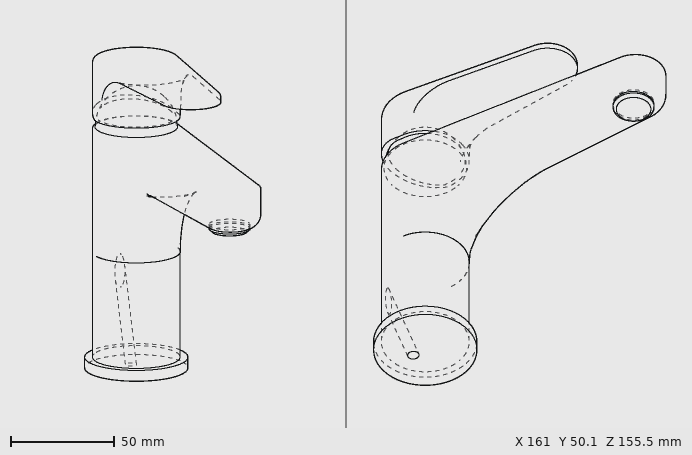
import cadquery as cq
import math

flange_radius = 25.03
flange_height = 5.5
column_radius = 21.3
column_top = 120.7
top_edge_round = 1.0

reach = 161.0 - flange_radius
spout_tip_radius = 14.8
spout_tip_x = reach - spout_tip_radius
spout_underside = 100.5
spout_edge_round = 7.1
throat_radius = 42.2
throat_nose_radius = column_radius + 0.2
spout_bar_bottom = spout_underside - throat_radius

rod_hole_diameter = 5.3
rod_hole_opening_height = 16.9
rod_hole_z = 43.5

dome_radius = 20.0

lever_top = 155.5
paddle_underside = 150.7
lever_edge_round = 2.5
lever_head_radius = column_radius
lever_reach = 85.0
lever_tip_radius = 14.5
lever_tip_x = lever_reach - lever_tip_radius
skirt_bottom = 125.7
skirt_back_bottom = 131.2
skirt_slope_end_x = -1.3
skirt_top_radius = 21.7
lever_throat_radius = 15.0
skirt_top_z = paddle_underside - lever_throat_radius

aerator_x = 120.1
aerator_radius = 10.0
aerator_rim_bottom = 99.7
aerator_face_radius = 8.4
aerator_face_z = 98.2
aerator_outlet_radius = 4.5
aerator_bottom = 97.7
aerator_seat_z = 101.7

throat_steps = 8


def tapered_bar(head_radius, tip_radius, tip_x, bottom, top):
    """Upright bar whose plan joins a round head on the Z axis to a round tip with tangent sides."""
    sine = (head_radius - tip_radius) / tip_x
    cosine = math.sqrt(1 - sine**2)
    head_point = (head_radius * sine, head_radius * cosine)
    tip_point = (tip_x + tip_radius * sine, tip_radius * cosine)
    return (
        cq.Workplane("XY", origin=(0, 0, bottom))
        .moveTo(*head_point)
        .lineTo(*tip_point)
        .threePointArc((tip_x + tip_radius, 0), (tip_point[0], -tip_point[1]))
        .lineTo(head_point[0], -head_point[1])
        .threePointArc((-head_radius, 0), head_point)
        .close()
        .extrude(top - bottom)
    )


def round_nosed_section(front_x, z, nose_radius):
    """Level outline with straight sides and a half-round nose that reaches front_x."""
    back_x = -2 * nose_radius
    nose_centre_x = front_x - nose_radius
    back_right = (back_x, -nose_radius, z)
    back_left = (back_x, nose_radius, z)
    nose_right = (nose_centre_x, -nose_radius, z)
    nose_left = (nose_centre_x, nose_radius, z)
    return cq.Wire.assembleEdges(
        [
            cq.Edge.makeLine(back_right, nose_right),
            cq.Edge.makeThreePointArc(nose_right, (front_x, 0, z), nose_left),
            cq.Edge.makeLine(nose_left, back_left),
            cq.Edge.makeLine(back_left, back_right),
        ]
    )


def throat(nose_front_x, nose_radius, arc_radius, underside):
    """Round-nosed neck that advances along a quarter circle until it is level with the underside."""
    sections = []
    for step in range(throat_steps + 1):
        angle = math.pi / 2 * step / throat_steps
        front_x = nose_front_x + arc_radius * (1 - math.cos(angle))
        z = underside - arc_radius * (1 - math.sin(angle))
        sections.append(round_nosed_section(front_x, z, nose_radius))
    return cq.Workplane(cq.Solid.makeLoft(sections))


def slab(bottom, top):
    """Level block larger than either bar, used to keep a bar at its full plan between two heights."""
    width = 4 * reach
    return cq.Workplane("XY", origin=(0, 0, bottom)).rect(width, width).extrude(top - bottom)


def make_spout():
    """Spout bar with its throat, its lower edge rounded all the way along."""
    bar = tapered_bar(column_radius, spout_tip_radius, spout_tip_x, spout_bar_bottom, column_top)
    envelope = slab(spout_underside, column_top).union(
        throat(column_radius, throat_nose_radius, throat_radius, spout_underside)
    )
    straight_lower_edges = cq.selectors.BoxSelector(
        (spout_tip_x / 2, -column_radius, spout_underside - 1.6),
        (reach, column_radius, spout_underside + 1.6),
    )
    return bar.intersect(envelope).edges(straight_lower_edges).fillet(spout_edge_round)


def make_rod_hole():
    """Hole that runs down and inward from the back of the column and out through the bottom."""
    tilt = math.asin(rod_hole_diameter / rod_hole_opening_height)
    length = 2 * column_top
    return (
        cq.Workplane("XY")
        .circle(rod_hole_diameter / 2)
        .extrude(length)
        .translate((0, 0, -length / 2))
        .rotate((0, 0, 0), (0, 1, 0), -math.degrees(tilt))
        .translate((-column_radius, 0, rod_hole_z))
    )


def make_body():
    """Flange, column and spout in one piece, with the rod hole and the aerator seat."""
    flange = cq.Workplane("XY").circle(flange_radius).extrude(flange_height)
    column = cq.Workplane("XY").circle(column_radius).extrude(column_top)
    aerator_seat = (
        cq.Workplane("XY", origin=(aerator_x, 0, aerator_bottom))
        .circle(aerator_radius)
        .extrude(aerator_seat_z - aerator_bottom)
    )
    return (
        column.union(make_spout())
        .faces(">Z")
        .edges()
        .fillet(top_edge_round)
        .union(flange)
        .cut(make_rod_hole())
        .cut(aerator_seat)
    )


def make_dome():
    """Half ball that stands on the top of the column."""
    return cq.Workplane("XY", origin=(0, 0, column_top)).sphere(dome_radius, angle1=0)


def make_lever():
    """Paddle and skirt, cut away at the back and hollowed to sit on the dome."""
    bar = tapered_bar(lever_head_radius, lever_tip_radius, lever_tip_x, skirt_bottom, lever_top)
    skirt = cq.Workplane(
        cq.Solid.makeLoft(
            [
                round_nosed_section(lever_head_radius, skirt_bottom, lever_head_radius),
                round_nosed_section(skirt_top_radius, skirt_top_z, skirt_top_radius),
            ],
            True,
        )
    )
    envelope = (
        slab(paddle_underside, lever_top)
        .union(throat(skirt_top_radius, skirt_top_radius, lever_throat_radius, paddle_underside))
        .union(skirt)
    )
    back_cut = (
        cq.Workplane("XZ")
        .moveTo(skirt_slope_end_x, skirt_bottom)
        .lineTo(-lever_head_radius, skirt_back_bottom)
        .lineTo(-lever_head_radius, skirt_bottom)
        .close()
        .extrude(lever_head_radius, both=True)
    )
    ball = cq.Workplane("XY", origin=(0, 0, column_top)).sphere(dome_radius)
    return (
        bar.intersect(envelope)
        .faces(">Z")
        .edges()
        .fillet(lever_edge_round)
        .cut(back_cut)
        .cut(ball)
    )


def make_aerator():
    """Turned insert in the spout, with a bevelled rim and a slightly raised outlet."""
    return (
        cq.Workplane("XZ", origin=(aerator_x, 0, 0))
        .moveTo(0, aerator_seat_z)
        .lineTo(aerator_radius, aerator_seat_z)
        .lineTo(aerator_radius, aerator_rim_bottom)
        .lineTo(aerator_face_radius, aerator_face_z)
        .lineTo(aerator_outlet_radius, aerator_bottom)
        .lineTo(0, aerator_bottom)
        .close()
        .revolve(360, (0, 0, 0), (0, 1, 0))
    )


body = make_body()
dome = make_dome()
lever = make_lever()
aerator = make_aerator()

result = cq.Compound.makeCompound([body.val(), dome.val(), lever.val(), aerator.val()])